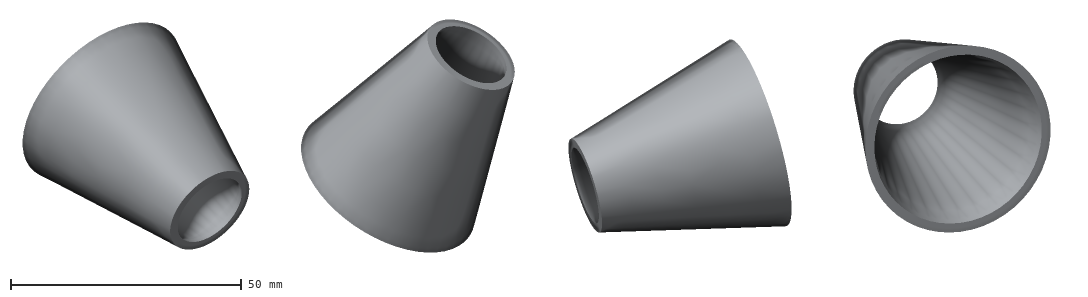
import cadquery as cq

length = 40.0
wide_diameter = 42.4
narrow_diameter = 21.3
wall = 2.05

wide_radius = wide_diameter / 2
narrow_radius = narrow_diameter / 2

wall_section = [
    (0, wide_radius - wall),
    (0, wide_radius),
    (length, narrow_radius),
    (length, narrow_radius - wall),
]

result = (
    cq.Workplane("XY")
    .polyline(wall_section)
    .close()
    .revolve(360, (0, 0, 0), (1, 0, 0))
)